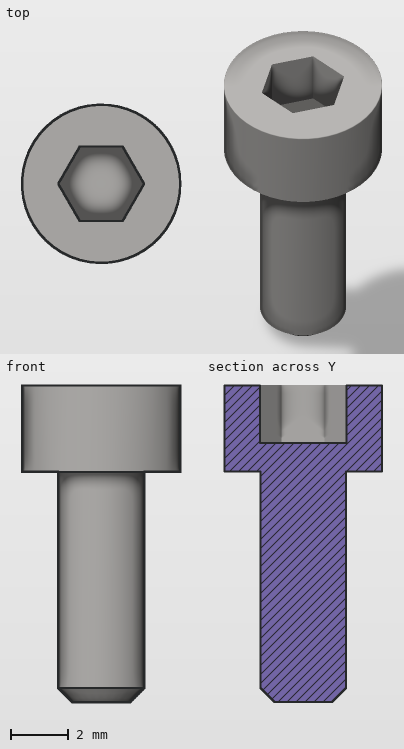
import cadquery as cq
import math

head_diameter = 5.5
head_height = 3.0
head_edge_radius = 0.03

shank_diameter = 3.0
shank_length = 8.0
tip_chamfer = 0.5

socket_sides = 6
socket_across_flats = 2.58
socket_depth = 2.0


def make_head():
    head = cq.Workplane("XY").circle(head_diameter / 2).extrude(head_height)
    return head.faces(">Z").edges().fillet(head_edge_radius)


def make_shank():
    shank = cq.Workplane("XY").circle(shank_diameter / 2).extrude(-shank_length)
    return shank.faces("<Z").edges().chamfer(tip_chamfer)


def make_socket():
    """Hexagonal key socket with two corners on the X axis."""
    across_corners = socket_across_flats / math.cos(math.pi / socket_sides)
    top = cq.Workplane("XY").workplane(offset=head_height)
    return top.polygon(socket_sides, across_corners).extrude(-socket_depth)


result = make_head().union(make_shank()).cut(make_socket())